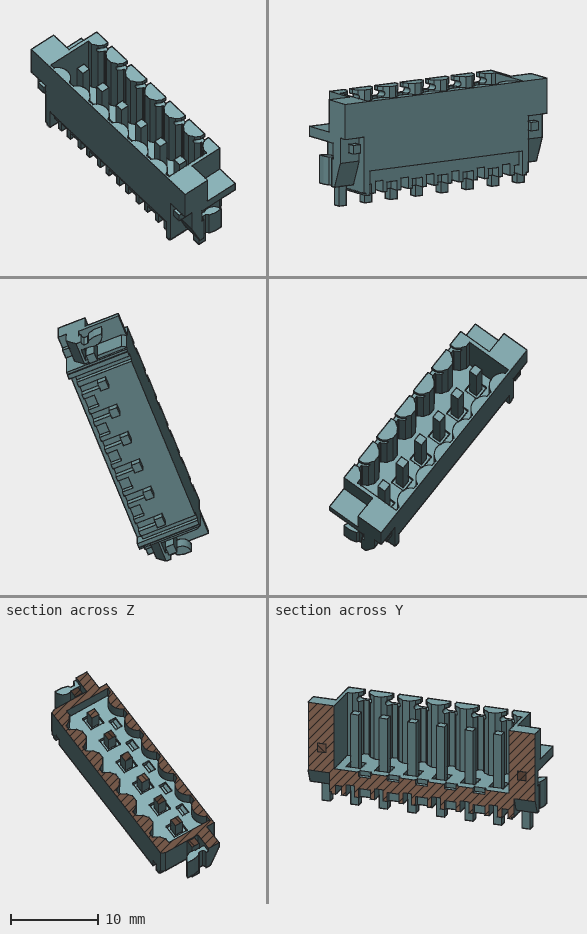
import cadquery as cq
import math


pin_count = 6
hold_down_spacing = 24.5
pitch = hold_down_spacing / (pin_count + 1)
pin_size = 1.0
pin_y = 3.5
pin_top = 9.65
pin_tip = -1.55
pin_centers = [(i - (pin_count - 1) / 2) * pitch for i in range(pin_count)]
window_centers = [(i - (pin_count - 2) / 2) * pitch for i in range(pin_count - 1)]

length = 27.85
depth = 7.45
height = 11.0
upper_width = 22.28
lower_width = 22.65
foot_width = 22.1
foot_height = 0.28

cavity_half_width = 10.7
cavity_front = 0.28
lobe_nose = 5.85
lobe_root = 6.85
back_wall_front = 7.0
cavity_floor = 3.2
lobe_half_gap = 1.35
flank_x = 0.72
flank_y = 6.27
flank_radius = 2.23
key_slot_width = 0.7
rib_half_width = 1.4
rib_height = 0.9
pin_recess_size = 1.78
pin_recess_depth = 0.42

key_groove_width = 1.78
key_groove_height = 0.65
key_floor = 9.85

window_width = 1.4
window_front = 1.15
window_back = 2.0
window_slope = 0.35
window_depth = 0.55

comb_half_width = 10.53
comb_top = 2.85
comb_setback = 0.7
pin_slot_top = 1.36
tooth_slot_top = 1.11
end_slot_width = 0.67

block_depth = 3.35
flange_top = 7.2
flange_bottom = 6.05
wing_bottom = 0.92
front_notch_top = 6.88
front_notch_depth = 1.0
slope_top = 3.93
slope_bottom_y = 2.23
plate_back = 2.5
column_x = 11.7
column_chamfer_x = 0.28
column_chamfer_y = 0.5
leg_top = 4.2

leg_back = 5.38
leg_bevel_start = 4.45
leg_bevel_end = 3.7
leg_bevel_inset = 0.2
leg_inner_bulge = (0.72, 5.0)
leg_inner_inset = 0.95
leg_inner_y = 3.68
groove_inset = 0.47
groove_back = 3.45
groove_front = 3.04
groove_back_mid = (0.4, 3.6)
groove_front_mid = (0.33, 2.9)
leg_root_y = 2.85

hold_down_x = hold_down_spacing / 2
hold_down_front = 0.08
bend_inner_radius = 0.45


def box(x0, x1, y0, y1, z0, z1):
    """Axis-aligned block given by its limits."""
    return cq.Workplane("XY").box(x1 - x0, y1 - y0, z1 - z0, centered=False).translate((x0, y0, z0))


def centered_box(x, width, y0, y1, z0, z1):
    """Axis-aligned block centred on x."""
    return box(x - width / 2, x + width / 2, y0, y1, z0, z1)


def make_body():
    """Central block, slightly narrower in its upper half and at its foot."""
    body = centered_box(0, upper_width, 0, depth, flange_bottom, height)
    body = body.union(centered_box(0, lower_width, 0, depth, foot_height, flange_bottom))
    body = body.union(centered_box(0, lower_width, 0, block_depth, flange_bottom, front_notch_top))
    return body.union(centered_box(0, foot_width, 0, depth, 0, foot_height))


def make_spring_leg(end_x):
    """Vertical leg that curves back from the front plate, beside the hold-down pin."""
    outline = (
        cq.Workplane("XY")
        .moveTo(end_x, plate_back)
        .lineTo(end_x, leg_root_y)
        .threePointArc(
            (end_x + groove_front_mid[0], groove_front_mid[1]),
            (end_x + groove_inset, groove_front),
        )
        .lineTo(end_x + groove_inset, groove_back)
        .threePointArc(
            (end_x + groove_back_mid[0], groove_back_mid[1]),
            (end_x + leg_bevel_inset, leg_bevel_end),
        )
        .lineTo(end_x, leg_bevel_start)
        .lineTo(end_x, leg_back)
        .threePointArc(
            (end_x + leg_inner_bulge[0], leg_inner_bulge[1]),
            (end_x + leg_inner_inset, leg_inner_y),
        )
        .lineTo(end_x + leg_inner_inset, plate_back)
        .close()
    )
    return outline.extrude(leg_top - wing_bottom).translate((0, 0, wing_bottom))


def make_left_wing():
    """Left end: block, flange, sloped front plate, rear column and spring leg."""
    end_x = -length / 2
    root_x = -upper_width / 2
    plate = (
        cq.Workplane("YZ")
        .moveTo(0, height)
        .lineTo(0, front_notch_top)
        .lineTo(front_notch_depth, front_notch_top)
        .lineTo(front_notch_depth, slope_top)
        .lineTo(slope_bottom_y, wing_bottom)
        .lineTo(plate_back, wing_bottom)
        .lineTo(plate_back, flange_bottom)
        .lineTo(depth, flange_bottom)
        .lineTo(depth, flange_top)
        .lineTo(block_depth, flange_top)
        .lineTo(block_depth, height)
        .close()
        .extrude(root_x - end_x)
        .translate((end_x, 0, 0))
    )
    column = (
        cq.Workplane("XY")
        .moveTo(root_x, plate_back)
        .lineTo(-column_x, plate_back)
        .lineTo(-column_x, depth - column_chamfer_y)
        .lineTo(-column_x + column_chamfer_x, depth)
        .lineTo(root_x, depth)
        .close()
        .extrude(flange_bottom - wing_bottom)
        .translate((0, 0, wing_bottom))
    )
    return plate.union(column).union(make_spring_leg(end_x))


def make_cavity():
    """Plug cavity: scalloped by round ribs in front and by lobes between key slots at the back."""
    outline = cq.Workplane("XY").moveTo(-cavity_half_width, cavity_front)
    for x in pin_centers:
        outline = (
            outline.lineTo(x - rib_half_width, cavity_front)
            .threePointArc((x, cavity_front + rib_height), (x + rib_half_width, cavity_front))
        )
    outline = outline.lineTo(cavity_half_width, cavity_front).lineTo(cavity_half_width, lobe_nose)
    for x in reversed(pin_centers):
        outline = (
            outline.lineTo(x + lobe_half_gap, lobe_nose)
            .radiusArc((x + flank_x, flank_y), -flank_radius)
            .lineTo(x + key_slot_width / 2, lobe_root)
            .lineTo(x + key_slot_width / 2, back_wall_front)
            .lineTo(x - key_slot_width / 2, back_wall_front)
            .lineTo(x - key_slot_width / 2, lobe_root)
            .lineTo(x - flank_x, flank_y)
            .radiusArc((x - lobe_half_gap, lobe_nose), -flank_radius)
        )
    outline = outline.lineTo(-cavity_half_width, lobe_nose).close()
    return outline.extrude(height - cavity_floor).translate((0, 0, cavity_floor))


def make_key_slot(x):
    """Slot through the back wall, widening into a round-ended groove at its floor."""
    slot = centered_box(x, key_slot_width, lobe_nose, depth, key_floor, height)
    groove = (
        cq.Workplane("XZ")
        .slot2D(key_groove_width, key_groove_height)
        .extrude(-(depth - lobe_nose))
        .translate((x, lobe_nose, key_floor + key_groove_height / 2))
    )
    return slot.union(groove)


def make_pin_recess(x):
    """Shallow square recess in the cavity floor around a contact pin."""
    front = pin_y - pin_recess_size / 2
    back = pin_y + pin_recess_size / 2
    return centered_box(x, pin_recess_size, front, back, cavity_floor - pin_recess_depth, cavity_floor)


def make_window(x):
    """Pocket in the cavity floor with a sloped front side."""
    bottom = cavity_floor - window_depth
    return (
        cq.Workplane("YZ")
        .moveTo(window_front, cavity_floor)
        .lineTo(window_front, bottom + window_slope)
        .lineTo(window_front + window_slope, bottom)
        .lineTo(window_back, bottom)
        .lineTo(window_back, cavity_floor)
        .close()
        .extrude(window_width)
        .translate((x - window_width / 2, 0, 0))
    )


def cut_comb(body):
    """Set the lower front edge back and slot it at the pins, between them and at both ends."""
    body = body.cut(centered_box(0, 2 * comb_half_width, 0, comb_setback, 0, comb_top))
    for x in pin_centers:
        body = body.cut(centered_box(x, pin_size, comb_setback, pin_y, 0, pin_slot_top))
    for x in window_centers:
        body = body.cut(centered_box(x, window_width, comb_setback, window_back, 0, tooth_slot_top))
    for side in (-1, 1):
        x = side * (comb_half_width - end_slot_width / 2)
        body = body.cut(centered_box(x, end_slot_width, comb_setback, depth, 0, tooth_slot_top))
    return body


def make_pin(x):
    """Straight square contact pin."""
    return centered_box(x, pin_size, pin_y - pin_size / 2, pin_y + pin_size / 2, pin_tip, pin_top)


def make_hold_down_pin(x):
    """Square pin that enters from the front and bends down behind the front plate."""
    back = pin_y + pin_size / 2
    front = pin_y - pin_size / 2
    outer_radius = bend_inner_radius + pin_size
    bend_y = back - outer_radius
    bend_z = flange_bottom - outer_radius
    outer_diagonal = outer_radius * math.sqrt(0.5)
    inner_diagonal = bend_inner_radius * math.sqrt(0.5)
    return (
        cq.Workplane("YZ")
        .moveTo(hold_down_front, flange_bottom)
        .lineTo(bend_y, flange_bottom)
        .threePointArc((bend_y + outer_diagonal, bend_z + outer_diagonal), (back, bend_z))
        .lineTo(back, pin_tip)
        .lineTo(front, pin_tip)
        .lineTo(front, bend_z)
        .threePointArc(
            (bend_y + inner_diagonal, bend_z + inner_diagonal),
            (bend_y, bend_z + bend_inner_radius),
        )
        .lineTo(hold_down_front, bend_z + bend_inner_radius)
        .close()
        .extrude(pin_size)
        .translate((x - pin_size / 2, 0, 0))
    )


def make_housing(pins):
    """Housing with its cavity, comb and a matching hole for every pin."""
    wing = make_left_wing()
    housing = make_body().union(wing).union(wing.mirror("YZ"))
    housing = housing.cut(make_cavity())
    for x in pin_centers:
        housing = housing.cut(make_key_slot(x))
        housing = housing.cut(make_pin_recess(x))
    for x in window_centers:
        housing = housing.cut(make_window(x))
    housing = cut_comb(housing)
    for pin in pins:
        housing = housing.cut(pin)
    return housing


contact_pins = [make_pin(x) for x in pin_centers]
hold_down_pins = [make_hold_down_pin(side * hold_down_x) for side in (-1, 1)]
housing = make_housing(contact_pins + hold_down_pins)

result = cq.Compound.makeCompound(
    [housing.val()] + [pin.val() for pin in contact_pins + hold_down_pins]
)